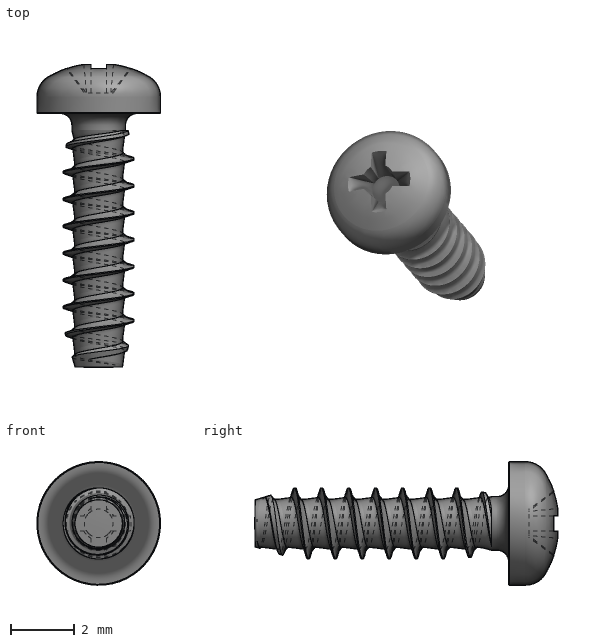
import cadquery as cq
import math


head_radius = 1.95
head_height = 1.6
rim_height = 0.53
rim_edge_chamfer = 0.03
shoulder_angle = math.radians(62.5)
shoulder_radius = 0.74

wing_width = 0.48
wing_end_radius = 1.15
recess_core_radius = 0.53
recess_floor_radius = 0.45
recess_depth = 0.95

shank_length = 8.0
neck_radius = 0.85
neck_fillet = 0.35
neck_length = 0.53
neck_taper_end = 0.85
tip_radius = 0.745
tip_cone_height = 0.015

pitch = 0.85
crest_radius = 1.12
root_radius = 0.765
tip_side_base_radius = 0.82
first_crest_offset = 0.566
run_in_radius = 0.93
run_in_slope = 0.21
run_out_slope = 0.3

groove_top_half_gap = 0.012
tip_side_base = 0.11
root_start = 0.53
head_side_base = pitch - 0.185
head_side_bend = pitch - 0.085
head_side_bend_radius = 0.88
groove_top_radius = crest_radius + 0.04
turns_per_cut = 3


def revolve_about_axis(profile):
    """Revolve a closed (radius, distance) profile drawn on the XZ plane about local Z."""
    return profile.close().revolve(360, (0, 0, 0), (0, 1, 0))


def make_head():
    """Cylindrical rim, tangent shoulder arc and shallow dome."""
    arc_centre_radius = head_radius - shoulder_radius
    half_angle = shoulder_angle / 2
    shoulder_mid = (
        arc_centre_radius + shoulder_radius * math.cos(half_angle),
        -rim_height - shoulder_radius * math.sin(half_angle),
    )
    shoulder_end = (
        arc_centre_radius + shoulder_radius * math.cos(shoulder_angle),
        -rim_height - shoulder_radius * math.sin(shoulder_angle),
    )
    dome_rise = head_height + shoulder_end[1]
    dome_radius = (shoulder_end[0] ** 2 + dome_rise**2) / (2 * dome_rise)
    dome_mid_radius = shoulder_end[0] / 2
    dome_mid_drop = dome_radius - math.sqrt(dome_radius**2 - dome_mid_radius**2)
    profile = (
        cq.Workplane("XZ")
        .lineTo(head_radius - rim_edge_chamfer, 0)
        .lineTo(head_radius, -rim_edge_chamfer)
        .lineTo(head_radius, -rim_height)
        .threePointArc(shoulder_mid, shoulder_end)
        .threePointArc((dome_mid_radius, dome_mid_drop - head_height), (0, -head_height))
    )
    return revolve_about_axis(profile)


def make_recess():
    """Cross-shaped recess whose wing ends and round core taper towards its floor."""
    floor = recess_depth - head_height

    def cone(top_radius):
        return revolve_about_axis(
            cq.Workplane("XZ")
            .moveTo(0, -head_height)
            .lineTo(top_radius, -head_height)
            .lineTo(recess_floor_radius, floor)
            .lineTo(0, floor)
        )

    wing_span = 2 * wing_end_radius
    cross = (
        cq.Workplane("XY")
        .workplane(offset=-head_height)
        .rect(wing_span, wing_width)
        .extrude(recess_depth)
        .union(
            cq.Workplane("XY")
            .workplane(offset=-head_height)
            .rect(wing_width, wing_span)
            .extrude(recess_depth)
        )
    )
    return cross.intersect(cone(wing_end_radius)).union(cone(recess_core_radius))


def make_neck():
    """Plain neck with a fillet under the head and a taper down to the thread root."""
    fillet_reach = neck_fillet * (1 - math.sqrt(0.5))
    profile = (
        cq.Workplane("XZ")
        .lineTo(neck_radius + neck_fillet, 0)
        .threePointArc((neck_radius + fillet_reach, fillet_reach), (neck_radius, neck_fillet))
        .lineTo(neck_radius, neck_length)
        .lineTo(root_radius, neck_taper_end)
        .lineTo(0, neck_taper_end)
    )
    return revolve_about_axis(profile)


def make_thread_blank():
    """Outer envelope of the thread: run-in cone, full diameter and run-out cone."""
    run_in_end = neck_length + (crest_radius - run_in_radius) / run_in_slope
    tip_edge = shank_length - tip_cone_height
    run_out_start = tip_edge - (crest_radius - tip_radius) / run_out_slope
    profile = (
        cq.Workplane("XZ")
        .moveTo(0, neck_length)
        .lineTo(run_in_radius, neck_length)
        .lineTo(crest_radius, run_in_end)
        .lineTo(crest_radius, run_out_start)
        .lineTo(tip_radius, tip_edge)
        .lineTo(0, shank_length)
    )
    return revolve_about_axis(profile)


def make_groove_length(start, turns):
    """Right-hand helical groove between two crests, starting on local +Y beside a crest at start."""
    helix = cq.Wire.makeHelix(pitch, turns * pitch, root_radius, center=cq.Vector(0, 0, start))
    section = (
        cq.Workplane("XZ", origin=(0, 0, start))
        .moveTo(groove_top_radius, groove_top_half_gap)
        .lineTo(tip_side_base_radius, tip_side_base)
        .lineTo(root_radius, root_start)
        .lineTo(root_radius, head_side_base)
        .threePointArc(
            (head_side_bend_radius, head_side_bend),
            (groove_top_radius, pitch - groove_top_half_gap),
        )
        .close()
    )
    groove = section.sweep(cq.Workplane(obj=helix), isFrenet=True)
    return groove.rotate((0, 0, 0), (0, 0, 1), 90)


def make_threaded_shank():
    """Thread blank with the groove cut in successive lengths that join end to end."""
    shank = make_thread_blank()
    start = first_crest_offset + pitch / 4 - 2 * pitch
    while start < shank_length:
        shank = shank.cut(make_groove_length(start, turns_per_cut))
        start += turns_per_cut * pitch
    return shank


head = make_head().cut(make_recess())
screw = head.union(make_neck()).union(make_threaded_shank())

result = screw.rotate((0, 0, 0), (1, 0, 0), 90)